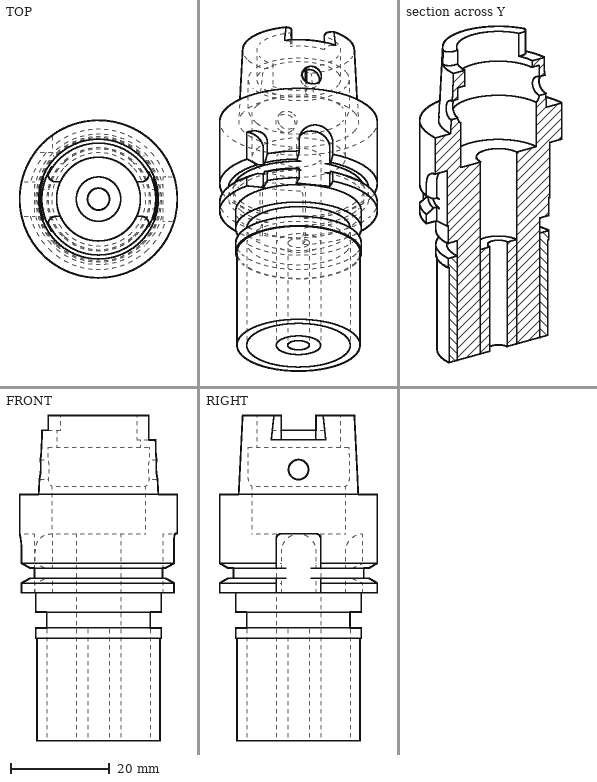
import cadquery as cq
import math


taper_top = 16.0
flange_bottom = -20.0
collar_bottom = -23.9
nut_top = -27.1
nut_band_height = 2.1
nut_band_bottom = nut_top - nut_band_height
nut_bottom = -50.0

taper_base_radius = 12.15
taper_ratio = 1 / 20
taper_top_radius = taper_base_radius - taper_ratio * taper_top
cross_hole_radius = 2.0
cross_hole_height = 5.0

rim_slot_width = 7.0
rim_corner_radius = 1.5
rim_corner_reach = 10.2
short_slot_depth = 3.0
long_slot_depth = 5.0

flange_radius = 16.0
groove_radius = 13.25
groove_center = -16.0
groove_floor_width = 2.0
groove_side_height = 1.0
groove_side_angle = 60.0
groove_side_depth = groove_side_height * math.tan(math.radians(groove_side_angle))
groove_mouth_width = groove_floor_width + 2 * groove_side_height

keyway_top = -8.0
keyway_floor = 13.0
round_keyway_width = 7.0
square_keyway_width = 9.0
square_keyway_corner_radius = 1.0
notch_width = 7.0
notch_center_y = 13.0
notch_floor = 9.4

collar_radius = 12.75
nose_radius = 10.5

bore_radius = 8.5
recess_radius = 10.25
recess_top = 9.5
shoulder_height = 3.2
shoulder_round = 2.0
lower_bore_radius = 9.5
bore_floor = -8.0

nut_radius = 12.5
collet_radius = 4.5
collet_hole_radius = 2.2


def turned(points):
    """Revolve an outline of (radius, height) points about the Z axis, starting from the -Y side."""
    outline = [(-radius, height) for radius, height in points]
    return cq.Workplane("YZ").polyline(outline).close().revolve(360, (0, 0, 0), (0, 1, 0))


def turned_holder():
    """The holder's outside, from the nose at the bottom to the rim of the taper."""
    groove_edge_radius = flange_radius - groove_side_depth
    return turned([
        (0, nut_bottom),
        (nose_radius, nut_bottom),
        (nose_radius, collar_bottom),
        (collar_radius, collar_bottom),
        (collar_radius, flange_bottom),
        (flange_radius, flange_bottom),
        (flange_radius, groove_center - groove_mouth_width / 2),
        (groove_edge_radius, groove_center - groove_floor_width / 2),
        (groove_radius, groove_center - groove_floor_width / 2),
        (groove_radius, groove_center + groove_floor_width / 2),
        (groove_edge_radius, groove_center + groove_floor_width / 2),
        (flange_radius, groove_center + groove_mouth_width / 2),
        (flange_radius, 0),
        (taper_base_radius, 0),
        (taper_top_radius, taper_top),
        (0, taper_top),
    ])


def taper_hollow():
    """The stepped bore of the taper: entry bore, wider recess, rounded shoulder and lower bore."""
    round_center_radius = recess_radius - shoulder_round
    round_end_angle = math.acos((lower_bore_radius - round_center_radius) / shoulder_round)
    round_end_height = shoulder_height - shoulder_round * math.sin(round_end_angle)
    round_middle_radius = round_center_radius + shoulder_round * math.cos(round_end_angle / 2)
    round_middle_height = shoulder_height - shoulder_round * math.sin(round_end_angle / 2)
    return (
        cq.Workplane("YZ")
        .moveTo(0, bore_floor)
        .lineTo(-lower_bore_radius, bore_floor)
        .lineTo(-lower_bore_radius, round_end_height)
        .threePointArc((-round_middle_radius, round_middle_height), (-recess_radius, shoulder_height))
        .lineTo(-recess_radius, recess_top)
        .lineTo(-bore_radius, recess_top)
        .lineTo(-bore_radius, taper_top)
        .lineTo(0, taper_top)
        .close()
        .revolve(360, (0, 0, 0), (0, 1, 0))
    )


def rim_slot(side, depth):
    """A slot in the taper's rim on one side of X, flaring outward along two quarter arcs."""
    half_width = rim_slot_width / 2
    arc_start = rim_corner_reach - rim_corner_radius
    flare = half_width + rim_corner_radius
    beyond = flange_radius
    mid = rim_corner_radius * math.sin(math.radians(45))
    arc_mid_x = arc_start + mid
    arc_mid_y = flare - mid
    return (
        cq.Workplane("XY", origin=(0, 0, taper_top - depth))
        .moveTo(0, -half_width)
        .lineTo(side * arc_start, -half_width)
        .threePointArc((side * arc_mid_x, -arc_mid_y), (side * rim_corner_reach, -flare))
        .lineTo(side * rim_corner_reach, -beyond)
        .lineTo(side * beyond, -beyond)
        .lineTo(side * beyond, beyond)
        .lineTo(side * rim_corner_reach, beyond)
        .lineTo(side * rim_corner_reach, flare)
        .threePointArc((side * arc_mid_x, arc_mid_y), (side * arc_start, half_width))
        .lineTo(0, half_width)
        .close()
        .extrude(depth)
    )


def keyway(side, floor, center_y, width, corner_radius):
    """A slot cut along X into the flange, open at the flange's bottom and rounded at its top."""
    half_width = width / 2
    low_y = center_y - half_width
    high_y = center_y + half_width
    shoulder = keyway_top - corner_radius
    mid = corner_radius * (1 - math.sin(math.radians(45)))
    outline = (
        cq.Workplane("YZ", origin=(side * floor, 0, 0))
        .moveTo(low_y, flange_bottom)
        .lineTo(low_y, shoulder)
        .threePointArc((low_y + mid, keyway_top - mid), (low_y + corner_radius, keyway_top))
    )
    if corner_radius < half_width:
        outline = outline.lineTo(high_y - corner_radius, keyway_top)
    return (
        outline
        .threePointArc((high_y - mid, keyway_top - mid), (high_y, shoulder))
        .lineTo(high_y, flange_bottom)
        .close()
        .extrude(side * (flange_radius - floor))
    )


def make_holder():
    cross_hole = (
        cq.Workplane("YZ", origin=(-flange_radius, 0, cross_hole_height))
        .circle(cross_hole_radius)
        .extrude(2 * flange_radius)
    )
    collet_bore = (
        cq.Workplane("XY", origin=(0, 0, nut_bottom))
        .circle(collet_radius)
        .extrude(taper_top - nut_bottom)
    )
    cuts = [
        taper_hollow(),
        cross_hole,
        collet_bore,
        rim_slot(-1, short_slot_depth),
        rim_slot(1, long_slot_depth),
        keyway(-1, keyway_floor, 0, round_keyway_width, round_keyway_width / 2),
        keyway(1, keyway_floor, 0, square_keyway_width, square_keyway_corner_radius),
        keyway(-1, notch_floor, notch_center_y, notch_width, notch_width / 2),
    ]
    holder = turned_holder()
    for cut in cuts:
        holder = holder.cut(cut)
    return holder


def make_nut():
    """A sleeve around the holder's nose with a slightly wider band at its top."""
    return turned([
        (nose_radius, nut_bottom),
        (nut_radius, nut_bottom),
        (nut_radius, nut_band_bottom),
        (collar_radius, nut_band_bottom),
        (collar_radius, nut_top),
        (nose_radius, nut_top),
    ])


def make_collet():
    """A plain bush in the holder's bore, as long as the nut."""
    return (
        cq.Workplane("XY", origin=(0, 0, nut_bottom))
        .circle(collet_radius)
        .circle(collet_hole_radius)
        .extrude(nut_top - nut_bottom)
    )


holder = make_holder()
nut = make_nut()
collet = make_collet()
result = cq.Compound.makeCompound([holder.val(), nut.val(), collet.val()])